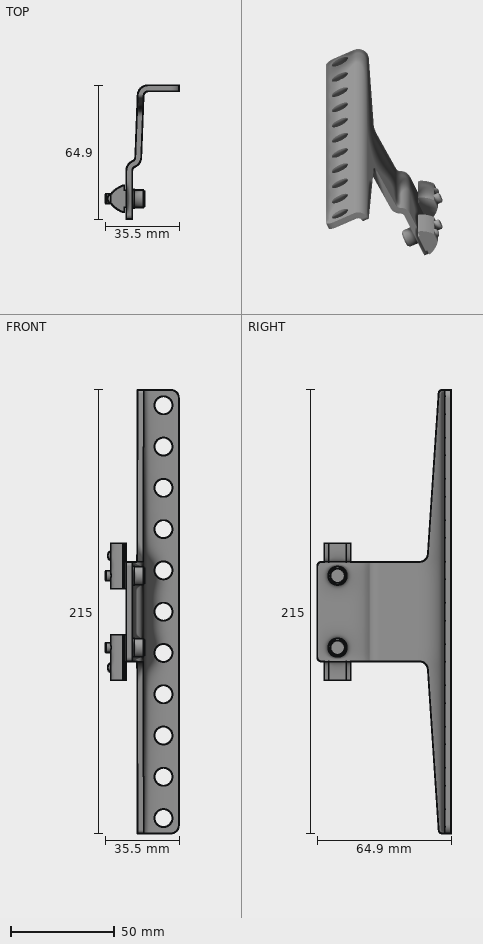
import cadquery as cq
import math


sheet = 3.0
bend_radius = 2.2 + sheet / 2
height = 215.0
rear_y = 55.0
arm_end_y = -9.9
flange_end_x = 25.5
joggle_start_y = 13.5
joggle_angle = 66.0
web_heading = 87.8

arm_width = 48.4
wing_depth_tip = 6.0
wing_depth_root = 11.6
wing_root_fillet = 3.9
wing_tip_fillet = 2.0
arm_corner_fillet = 2.2
flange_corner_fillet = 4.0

hole_diameter = 8.5
hole_count = 11
hole_pitch = 20.0
hole_x = 18.0

clamp_z = 22.1
clamp_length = 22.1
nose_x = -7.5
nose_width = 4.3
jaw_width = 13.0
flank_mid_x = -5.2
flank_mid_half_width = 4.5
jaw_front_x = -1.7
jaw_back_x = -0.9
neck_width = 8.4

screw_z = 17.5
shank_diameter = 5.0
shank_tip_x = -10.0
shank_chamfer = 0.5
collar_diameter = 9.0
collar_length = 0.9
head_diameter = 8.5
head_length = 6.0
head_chamfer = 0.9

pin_z = 27.0
pin_diameter = 5.0
pin_tip_x = -9.0
pin_length = 5.4


def turn(point, start_heading, end_heading):
    """End of a bend that starts at the point and swings between two headings."""
    side = math.copysign(bend_radius, start_heading - end_heading)
    start, end = math.radians(start_heading), math.radians(end_heading)
    x = point[0] + side * (math.sin(start) - math.sin(end))
    y = point[1] - side * (math.cos(start) - math.cos(end))
    return (x, y)


def shift(point, heading, distance):
    """Point moved to the left of its heading."""
    angle = math.radians(heading)
    return (point[0] - distance * math.sin(angle), point[1] + distance * math.cos(angle))


def sheet_section():
    """Bent cross-section of the bracket in the XY plane, extruded over the full height."""
    middle = sheet / 2
    joggle_heading = 90 - joggle_angle
    arm_top = (middle, joggle_start_y)
    joggle_mid = turn(arm_top, 90, joggle_heading)
    web_start = turn(joggle_mid, joggle_heading, web_heading)
    lean = math.radians(web_heading)
    web_end_y = rear_y - middle - bend_radius * (1 - math.cos(lean))
    web_end_x = web_start[0] + (web_end_y - web_start[1]) / math.tan(lean)
    flange_start = turn((web_end_x, web_end_y), web_heading, 0)
    path = [
        ((middle, arm_end_y), 90),
        (arm_top, 90),
        (joggle_mid, joggle_heading),
        (web_start, web_heading),
        ((web_end_x, web_end_y), web_heading),
        (flange_start, 0),
        ((flange_end_x, rear_y - middle), 0),
    ]
    left = [shift(point, heading, middle) for point, heading in path]
    right = [shift(point, heading, -middle) for point, heading in reversed(path)]
    return (
        cq.Workplane("XY", origin=(0, 0, -height / 2))
        .moveTo(*left[0])
        .lineTo(*left[1])
        .tangentArcPoint(left[2], relative=False)
        .tangentArcPoint(left[3], relative=False)
        .lineTo(*left[4])
        .tangentArcPoint(left[5], relative=False)
        .lineTo(*left[6])
        .lineTo(*right[0])
        .lineTo(*right[1])
        .tangentArcPoint(right[2], relative=False)
        .lineTo(*right[3])
        .tangentArcPoint(right[4], relative=False)
        .tangentArcPoint(right[5], relative=False)
        .lineTo(*right[6])
        .close()
        .extrude(height)
    )


def side_outline():
    """Block with the bracket's YZ outline: tapered wings and a narrower arm."""
    tip_y = rear_y - wing_depth_tip
    root_y = rear_y - wing_depth_root
    half_arm = arm_width / 2
    block = (
        cq.Workplane("YZ")
        .polyline([
            (rear_y, height / 2),
            (tip_y, height / 2),
            (root_y, half_arm),
            (arm_end_y, half_arm),
            (arm_end_y, -half_arm),
            (root_y, -half_arm),
            (tip_y, -height / 2),
            (rear_y, -height / 2),
        ])
        .close()
        .extrude(flange_end_x)
    )
    corners = [
        (tip_y, height / 2, wing_tip_fillet),
        (root_y, half_arm, wing_root_fillet),
        (arm_end_y, half_arm, arm_corner_fillet),
    ]
    for y, z, radius in corners:
        for side in (1, -1):
            corner = cq.selectors.NearestToPointSelector((flange_end_x / 2, y, side * z))
            block = block.edges("|X").edges(corner).fillet(radius)
    return block


def make_bracket():
    bracket = sheet_section().intersect(side_outline())
    bracket = bracket.faces(">X").edges("|Y").fillet(flange_corner_fillet)
    flange_holes = (
        cq.Workplane("XZ", origin=(hole_x, rear_y, 0))
        .rarray(2.2, hole_pitch, 1, hole_count)
        .circle(hole_diameter / 2)
        .extrude(sheet)
    )
    bracket = bracket.cut(flange_holes)
    for side in (1, -1):
        bracket = bracket.cut(rod(shank_diameter, 0, sheet, side * screw_z))
    return bracket


def rod(diameter, start_x, length, z):
    """Round bar along +X on the clamp axis."""
    return cq.Workplane("YZ", origin=(start_x, 0, z)).circle(diameter / 2).extrude(length)


def make_screw(side):
    z = side * screw_z
    shank = rod(shank_diameter, shank_tip_x, sheet - shank_tip_x, z)
    shank = shank.faces("<X").chamfer(shank_chamfer)
    collar = rod(collar_diameter, sheet, collar_length, z)
    head = rod(head_diameter, sheet + collar_length, head_length - collar_length, z)
    head = head.faces(">X").chamfer(head_chamfer)
    return shank.union(collar).union(head)


def make_pin(side):
    """Pin with a hemispherical tip on the -X end."""
    radius = pin_diameter / 2
    return (
        cq.Workplane("XY", origin=(pin_tip_x, 0, side * pin_z))
        .moveTo(radius, radius)
        .radiusArc((0, 0), -radius)
        .lineTo(pin_length, 0)
        .lineTo(pin_length, radius)
        .close()
        .revolve(360, (0, 0, 0), (1, 0, 0))
    )


def make_clamp(side):
    half_nose = nose_width / 2
    half_jaw = jaw_width / 2
    half_neck = neck_width / 2
    body = (
        cq.Workplane("XY", origin=(0, 0, side * clamp_z - clamp_length / 2))
        .moveTo(nose_x, half_nose)
        .threePointArc((flank_mid_x, flank_mid_half_width), (jaw_front_x, half_jaw))
        .lineTo(jaw_back_x, half_jaw)
        .lineTo(jaw_back_x, half_neck)
        .lineTo(0, half_neck)
        .lineTo(0, -half_neck)
        .lineTo(jaw_back_x, -half_neck)
        .lineTo(jaw_back_x, -half_jaw)
        .lineTo(jaw_front_x, -half_jaw)
        .threePointArc((flank_mid_x, -flank_mid_half_width), (nose_x, -half_nose))
        .close()
        .extrude(clamp_length)
    )
    return body.cut(make_screw(side)).cut(make_pin(side))


bracket = make_bracket()
clamps = [make_clamp(side) for side in (1, -1)]
screws = [make_screw(side) for side in (1, -1)]
pins = [make_pin(side) for side in (1, -1)]

result = cq.Compound.makeCompound([body.val() for body in [bracket, *clamps, *screws, *pins]])